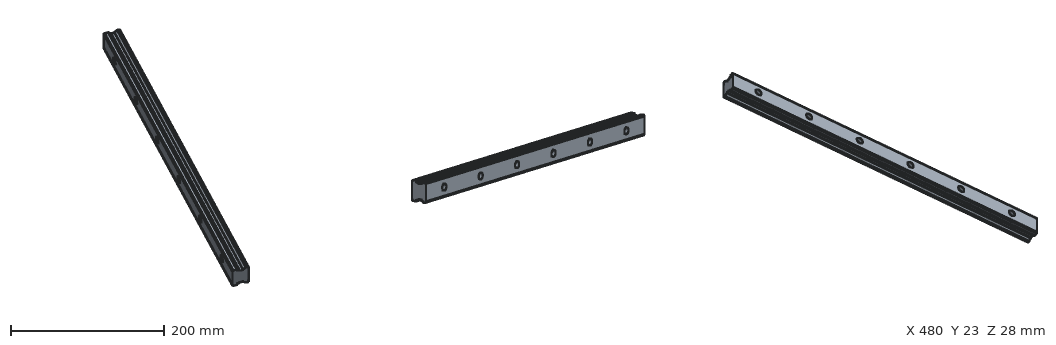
import cadquery as cq

length = 480.0
depth = 23.0
height = 28.0

edge_chamfer = 1.5
lip_ledge_width = 1.0
lip_ledge_depth = 2.0
lip_radius = 1.5
channel_depth = 3.5
ball_groove_outer_y = 7.0
ball_groove_inner_y = 3.5
ball_groove_depth = 2.5
ball_groove_bulge = 0.5
channel_front_y = -1.0
channel_slope_end_y = -4.0
channel_wall_y = -5.0
channel_slope_height = 1.5

hole_count = 6
hole_diameter = 9.0
hole_pitch = length / hole_count


def rail_half():
    """Upper half of the rail, symmetric about the XY plane."""
    half_depth = depth / 2
    half_height = height / 2
    chamfer_z = half_height - edge_chamfer
    floor_z = half_height - channel_depth
    groove_inner_z = half_height - ball_groove_depth
    groove_middle = (
        (ball_groove_outer_y + ball_groove_inner_y) / 2 + ball_groove_bulge / 2,
        (half_height + groove_inner_z) / 2 - ball_groove_bulge,
    )
    return (
        cq.Workplane("YZ")
        .moveTo(half_depth, 0)
        .lineTo(half_depth, half_height - lip_ledge_depth)
        .lineTo(half_depth - lip_ledge_width, half_height - lip_ledge_depth)
        .lineTo(half_depth - lip_ledge_width, half_height - lip_radius)
        .tangentArcPoint((-lip_radius, lip_radius))
        .lineTo(ball_groove_outer_y, half_height)
        .threePointArc(groove_middle, (ball_groove_inner_y, groove_inner_z))
        .lineTo(ball_groove_inner_y, floor_z)
        .lineTo(channel_front_y, floor_z)
        .lineTo(channel_slope_end_y, floor_z + channel_slope_height)
        .lineTo(channel_wall_y, floor_z + channel_slope_height)
        .lineTo(channel_wall_y, half_height)
        .lineTo(edge_chamfer - half_depth, half_height)
        .lineTo(-half_depth, chamfer_z)
        .lineTo(-half_depth, 0)
        .close()
        .extrude(length / 2, both=True)
    )


def mounting_holes():
    """Evenly spaced holes running through the rail along Y."""
    return (
        cq.Workplane("XZ")
        .rarray(hole_pitch, 5, hole_count, 1)
        .circle(hole_diameter / 2)
        .extrude(depth, both=True)
    )


upper_half = rail_half()
rail = upper_half.union(upper_half.mirror("XY")).clean()
result = rail.cut(mounting_holes())